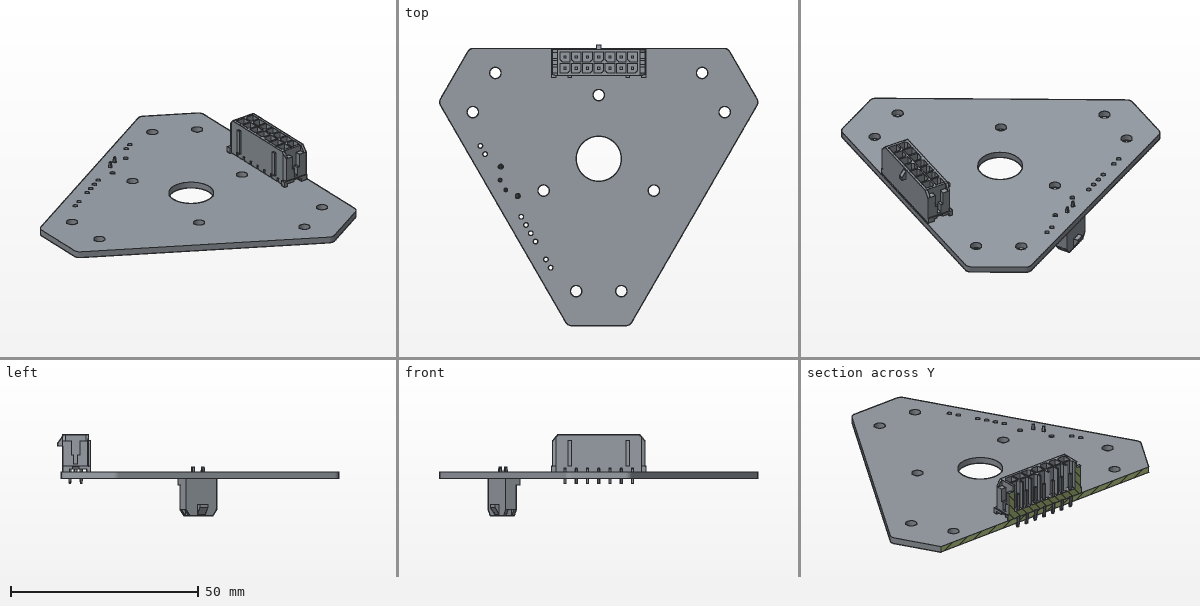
import cadquery as cq
import math

board_width = 84.9
board_thickness = 1.8
board_corner_radius = 1.9
long_edge_distance = 29.45
corner_reach = board_width / 2 + board_corner_radius * (1 / math.cos(math.radians(30)) - 1)
short_edge_distance = corner_reach * math.sqrt(3) - long_edge_distance

center_hole_diameter = 12.0
mount_hole_diameter = 3.0
inner_mount_radius = 17.0
outer_mount_distance = 35.3
outer_mount_half_spacing = 6.0

edge_plane = cq.Plane(
    origin=(0, 0, 0),
    xDir=(math.cos(math.radians(60)), -math.sin(math.radians(60)), 0),
    normal=(0, 0, 1),
)
edge_row_y = -25.6
wire_hole_diameter = 1.2
wire_hole_pitch = 2.55
wire_hole_groups = [(-17.5, 2), (6.9, 4), (17.5, 2)]

pin_columns = 7
pin_row_length = 18.0
pin_pitch = pin_row_length / (pin_columns - 1)
pin_size = 0.64
pin_tip_size = 0.3
pin_tip_length = 1.0
pin_tail = board_thickness + 1.4
pin_hole_diameter = 1.0

housing_height = 9.9
end_chamfer_height = 1.7
end_post_width = 0.8
latch_reach = 1.3
latch_top_drop = 0.4
latch_tip_drop = 2.2
latch_bottom_drop = 3.05

header_length = 24.8
header_depth = 7.0
header_y = 25.6
header_chamfer_length = 1.45
header_latch_width = 1.3
cavity_size = 2.55
cavity_corner_cut = 0.6
back_cut_sides = [-1, -1, 1, 1, -1, -1, -1]
front_cut_sides = [1, 1, 1, 1, -1, 0, 1]
cavity_floor = 2.0
header_pin_top = 6.8
front_relief_length = 1.0
front_relief_depth = 0.3
front_projection = 0.5
foot_length = 1.3
foot_overhang = 0.25
foot_height = 1.5
rib_width = 1.0
rib_x = 7.7
rib_top = 8.4
slot_wide_width = 2.3
slot_wide_bottom = 4.5
slot_narrow_width = 1.0
slot_narrow_bottom = 2.1
tunnel_height = 0.8
tunnel_back = 1.6
tunnel_front = -3.0
tunnel_notch_height = 1.3
tunnel_notch_width = 1.7
pad_size = 0.8
pin_notch_width = 0.5
pin_notch_height = 1.0

connector_length = 9.4
connector_depth = 3.3
connector_along_edge = -6.7
connector_face_y = -27.5
connector_y = connector_face_y + connector_depth / 2
connector_chamfer_length = 1.2
connector_latch_width = 2.5
tab_depth = 1.1
tab_height = 1.7
peg_spacing = 9.0
peg_y = -23.7
peg_diameter = 1.2
peg_length = 1.45
peg_tip_chamfer = 0.3
peg_hole_diameter = 1.3


def box(x_range, y_range, z_range):
    """Box between two limits on each axis."""
    (x0, x1), (y0, y1), (z0, z1) = x_range, y_range, z_range
    return cq.Workplane("XY").box(x1 - x0, y1 - y0, z1 - z0, centered=False).translate((x0, y0, z0))


def row_points(count, pitch, middle, y):
    """Evenly spaced points along x."""
    return [(middle + (i - (count - 1) / 2) * pitch, y) for i in range(count)]


header_pin_points = [
    point
    for y in (-pin_pitch / 2, pin_pitch / 2)
    for point in row_points(pin_columns, pin_pitch, 0, y)
]
connector_pin_points = row_points(2, pin_pitch, connector_along_edge, edge_row_y)
peg_points = row_points(2, peg_spacing, connector_along_edge, peg_y)


def make_board():
    """Plate with three long and three short edges, rounded corners and all its holes."""
    half_long_edge = (2 * short_edge_distance - long_edge_distance) / math.sqrt(3)
    corner_distance = math.hypot(half_long_edge, long_edge_distance)
    half_angle = math.degrees(math.atan2(half_long_edge, long_edge_distance))
    corner_angles = [
        math.radians(middle + side * half_angle) for middle in (90, 210, 330) for side in (-1, 1)
    ]
    corners = [(corner_distance * math.cos(a), corner_distance * math.sin(a)) for a in corner_angles]
    board = cq.Workplane("XY").polyline(corners).close().extrude(board_thickness)
    board = board.edges("|Z").fillet(board_corner_radius)
    return cut_edge_holes(cut_main_holes(board))


def drill(board, plane, points, diameter):
    """Round through holes at points of a plane on the board's underside."""
    holes = cq.Workplane(plane).pushPoints(points).circle(diameter / 2).extrude(board_thickness)
    return board.cut(holes)


def cut_main_holes(board):
    """Centre hole, three groups of mounting holes and the header's pin holes."""
    world = cq.Plane.XY()
    board = drill(board, world, [(0, 0)], center_hole_diameter)
    mount_points = [
        (0, inner_mount_radius),
        (-outer_mount_half_spacing, -outer_mount_distance),
        (outer_mount_half_spacing, -outer_mount_distance),
    ]
    for turn in (0, 120, 240):
        board = drill(board, world.rotated((0, 0, turn)), mount_points, mount_hole_diameter)
    header_holes = [(x, header_y + y) for x, y in header_pin_points]
    return drill(board, world, header_holes, pin_hole_diameter)


def cut_edge_holes(board):
    """Wire, pin and peg holes along the lower-left long edge."""
    for middle, count in wire_hole_groups:
        points = row_points(count, wire_hole_pitch, middle, edge_row_y)
        board = drill(board, edge_plane, points, wire_hole_diameter)
    board = drill(board, edge_plane, connector_pin_points, pin_hole_diameter)
    return drill(board, edge_plane, peg_points, peg_hole_diameter)


def make_housing(length, depth, chamfer_length, latch_width):
    """Upright housing on Z = 0 with chamfered end posts and a latch on its +Y side."""
    shoulder = housing_height - end_chamfer_height
    wall_x = length / 2 - chamfer_length
    housing = (
        cq.Workplane("XZ", origin=(0, depth / 2, 0))
        .polyline(
            [
                (-length / 2, 0),
                (length / 2, 0),
                (length / 2, shoulder),
                (wall_x, housing_height),
                (-wall_x, housing_height),
                (-length / 2, shoulder),
            ]
        )
        .close()
        .extrude(depth)
    )
    recess_half = depth / 2 - end_post_width
    for x_range in ((-length / 2, -wall_x), (wall_x, length / 2)):
        housing = housing.cut(box(x_range, (-recess_half, recess_half), (shoulder, housing_height)))
    latch = (
        cq.Workplane("YZ", origin=(-latch_width / 2, depth / 2, housing_height))
        .polyline(
            [
                (0, -latch_top_drop),
                (latch_reach, -latch_tip_drop),
                (latch_reach, -latch_bottom_drop),
                (0, -latch_bottom_drop),
            ]
        )
        .close()
        .extrude(latch_width)
    )
    return housing.union(latch)


def make_pins(points, top):
    """Square pins from the given height down through the board, tapered along y at the tip."""
    half = pin_size / 2
    tip_half = pin_tip_size / 2
    taper_start = pin_tip_length - pin_tail
    pin = (
        cq.Workplane("YZ", origin=(-half, 0, 0))
        .polyline(
            [
                (-half, top),
                (-half, taper_start),
                (-tip_half, -pin_tail),
                (tip_half, -pin_tail),
                (half, taper_start),
                (half, top),
            ]
        )
        .close()
        .extrude(pin_size)
    )
    return [pin.translate((x, y, 0)) for x, y in points]


def make_header():
    """Two-row pin header, built upright on its own origin and then set on the board."""
    header = make_housing(header_length, header_depth, header_chamfer_length, header_latch_width)
    header = add_header_ends(header)
    header = cut_header_underside(header)
    for point, cut_side in zip(header_pin_points, front_cut_sides + back_cut_sides):
        header = header.cut(make_cavity(point, cut_side))
    for pin in make_pins(header_pin_points, header_pin_top):
        header = header.union(pin)
    return header.translate((0, header_y, board_thickness))


def make_cavity(point, cut_side):
    """Square pin cavity, with one keying corner left solid."""
    cavity = (
        cq.Workplane("XY", origin=(*point, cavity_floor))
        .rect(cavity_size, cavity_size)
        .extrude(housing_height - cavity_floor)
    )
    if cut_side:
        corner = ">X" if cut_side > 0 else "<X"
        cavity = cavity.edges("|Z").edges(corner).edges("<Y").chamfer(cavity_corner_cut)
    return cavity


def add_header_ends(header):
    """End slots, relieved front corners, feet and front ribs."""
    front = -header_depth / 2
    half = header_length / 2
    wall_x = half - header_chamfer_length
    front_range = (front - front_projection, front)
    for side in (-1, 1):
        ends = sorted((side * wall_x, side * half))
        for width, bottom in ((slot_wide_width, slot_wide_bottom), (slot_narrow_width, slot_narrow_bottom)):
            header = header.cut(box(ends, (-width / 2, width / 2), (bottom, housing_height)))
        relief = (
            cq.Workplane("XY")
            .polyline(
                [
                    (side * (half - front_relief_length), front),
                    (side * half, front),
                    (side * half, front + front_relief_depth),
                ]
            )
            .close()
            .extrude(housing_height)
        )
        header = header.cut(relief)
        outer = half + foot_overhang
        foot_range = sorted((side * (outer - foot_length), side * outer))
        header = header.union(box(foot_range, (front - front_projection, -front), (0, foot_height)))
        rib_range = (side * rib_x - rib_width / 2, side * rib_x + rib_width / 2)
        header = header.union(box(rib_range, front_range, (foot_height, rib_top)))
    return header


def cut_header_underside(header):
    """Lengthwise tunnel with notched ends, a centre pad, and a notch in the front wall at each pin."""
    outer = header_length / 2 + foot_overhang
    header = header.cut(box((-outer, outer), (tunnel_front, tunnel_back), (0, tunnel_height)))
    notch_half = tunnel_notch_width / 2
    for end_range in ((-outer, foot_length - outer), (outer - foot_length, outer)):
        header = header.cut(box(end_range, (-notch_half, notch_half), (0, tunnel_notch_height)))
    pad_half = pad_size / 2
    header = header.union(box((-pad_half, pad_half), (-pad_half, pad_half), (0, tunnel_height)))
    for x, _ in row_points(pin_columns, pin_pitch, 0, 0):
        notch_range = (x - pin_notch_width / 2, x + pin_notch_width / 2)
        header = header.cut(box(notch_range, (-header_depth / 2, tunnel_front), (0, pin_notch_height)))
    return header


def make_connector():
    """Two-pin connector with a mounting tab and two pegs, hung under the board along its edge."""
    housing = make_housing(
        connector_length, connector_depth, connector_chamfer_length, connector_latch_width
    )
    half = connector_length / 2
    tab_range = (-connector_depth / 2 - tab_depth, -connector_depth / 2)
    housing = housing.union(box((-half, half), tab_range, (0, tab_height)))
    pin_points = row_points(2, pin_pitch, 0, connector_y - edge_row_y)
    for pin in make_pins(pin_points, tab_height):
        housing = housing.union(pin)
    pegs = (
        cq.Workplane("XY")
        .pushPoints(row_points(2, peg_spacing, 0, connector_y - peg_y))
        .circle(peg_diameter / 2)
        .extrude(-peg_length)
        .faces("<Z")
        .chamfer(peg_tip_chamfer)
    )
    housing = housing.union(pegs)
    housing = housing.rotate((0, 0, 0), (1, 0, 0), 180)
    housing = housing.translate((connector_along_edge, connector_y, 0))
    return cq.Workplane(housing.val().moved(cq.Location(edge_plane)))


board = make_board()
header = make_header()
connector = make_connector()
result = cq.Compound.makeCompound([board.val(), header.val(), connector.val()])